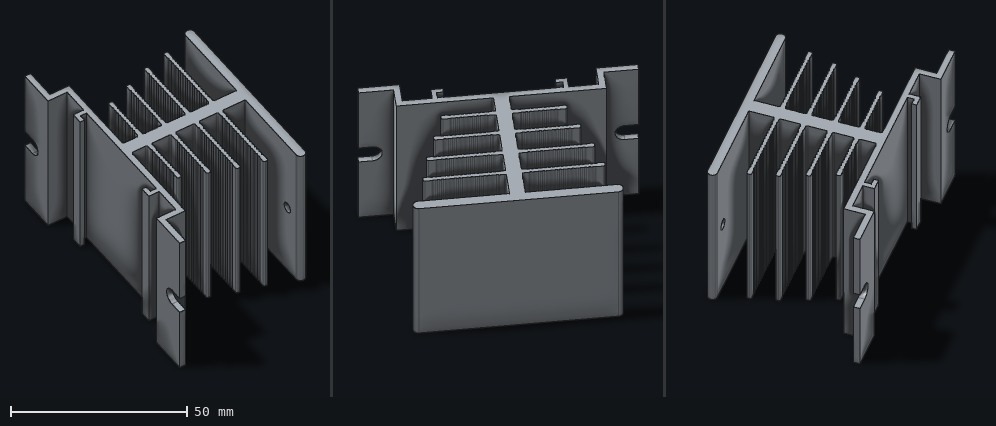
import cadquery as cq
import math

length = 50.0
half_web = 2.25
root_radius = 0.5

fillet_mid_factor = 1 - math.sqrt(0.5)
root_mid = root_radius * fillet_mid_factor

total_depth = 50.0
plate_half_width = 30.0
plate_thickness = 3.0
plate_inner_face = total_depth - plate_thickness
plate_hole_diameter = 3.3
plate_hole_x = 24.0
plate_hole_depth = 2.0

foot_half_span = 40.0
foot_thickness = 2.0
base_half_width = plate_half_width
base_top = 8.5
base_underside = 6.5
leg_thickness = foot_thickness

hook_outer = 19.5
hook_inner = 18.0
hook_tip = 16.0
hook_bottom = 3.0
hook_ledge = 4.5

slot_width = 5.5
slot_center_inset = 4.0

fin_thickness = 1.5
fin_pitch = 8.0
first_fin_y = 14.5
tip_radius = 0.5

groove_pitch = 1.2
groove_depth = 0.2
quarter_pitch = groove_pitch / 4

near_groove = 4.6
far_groove = near_groove + groove_pitch / 2
longest_fin_upper_groove = 4.8
longest_fin_lower_groove = longest_fin_upper_groove - groove_pitch / 2

fins = [
    (18.0, (near_groove, 10), (far_groove, 9)),
    (21.0, (far_groove, 12), (near_groove, 12)),
    (24.0, (near_groove, 15), (far_groove, 14)),
    (26.0, (longest_fin_lower_groove, 17), (longest_fin_upper_groove, 16)),
]


def add_ripple(path, y, depth_side, start, direction, count):
    """Continue an outline along a fin face at y with grooves sinking toward depth_side (+1 or -1).

    The first groove is centred at start and the rest follow in direction (+1 or -1) along X.
    """
    half_pitch = groove_pitch / 2
    mid_depth_y = y + depth_side * groove_depth / 2
    path = path.lineTo(start - direction * half_pitch, y)
    for index in range(count):
        center = start + direction * index * groove_pitch
        path = path.tangentArcPoint((center - direction * quarter_pitch, mid_depth_y), relative=False)
        path = path.tangentArcPoint((center + direction * quarter_pitch, mid_depth_y), relative=False)
    return path.tangentArcPoint((center + direction * half_pitch, y), relative=False)


def make_fin(y_center, reach, lower_row, upper_row):
    """Fin on the +X side, with root fillets, rounded tip corners and grooves."""
    lower_first, lower_count = lower_row
    upper_first, upper_count = upper_row
    upper_last = upper_first + (upper_count - 1) * groove_pitch
    low = y_center - fin_thickness / 2
    high = y_center + fin_thickness / 2
    tip_mid = tip_radius * fillet_mid_factor

    path = cq.Workplane("XY").moveTo(0, low - root_radius).lineTo(half_web, low - root_radius)
    path = path.threePointArc((half_web + root_mid, low - root_mid), (half_web + root_radius, low))
    path = add_ripple(path, low, 1, lower_first, 1, lower_count)
    path = path.lineTo(reach - tip_radius, low)
    path = path.threePointArc((reach - tip_mid, low + tip_mid), (reach, low + tip_radius))
    path = path.lineTo(reach, high - tip_radius)
    path = path.threePointArc((reach - tip_mid, high - tip_mid), (reach - tip_radius, high))
    path = add_ripple(path, high, -1, upper_last, -1, upper_count)
    path = path.lineTo(half_web + root_radius, high)
    path = path.threePointArc((half_web + root_mid, high + root_mid), (half_web, high + root_radius))
    path = path.lineTo(0, high + root_radius)
    return path.close().extrude(length)


def make_base():
    """+X half of the base with its leg, foot and hook, and the +X half of the web."""
    leg_inner = base_half_width - leg_thickness
    return (
        cq.Workplane("XY")
        .moveTo(0, base_underside)
        .lineTo(hook_inner, base_underside)
        .lineTo(hook_inner, hook_ledge)
        .lineTo(hook_tip, hook_ledge)
        .lineTo(hook_tip, hook_bottom)
        .lineTo(hook_outer, hook_bottom)
        .lineTo(hook_outer, base_underside)
        .lineTo(leg_inner, base_underside)
        .lineTo(leg_inner, 0)
        .lineTo(foot_half_span, 0)
        .lineTo(foot_half_span, foot_thickness)
        .lineTo(base_half_width, foot_thickness)
        .lineTo(base_half_width, base_top)
        .lineTo(half_web + root_radius, base_top)
        .threePointArc((half_web + root_mid, base_top + root_mid), (half_web, base_top + root_radius))
        .lineTo(half_web, plate_inner_face)
        .lineTo(0, plate_inner_face)
        .close()
        .extrude(length)
    )


def make_plate():
    """+X half of the rear plate, ending in a full round."""
    round_radius = plate_thickness / 2
    round_center = plate_half_width - round_radius
    return (
        cq.Workplane("XY")
        .moveTo(0, plate_inner_face)
        .lineTo(round_center, plate_inner_face)
        .threePointArc((plate_half_width, total_depth - round_radius), (round_center, total_depth))
        .lineTo(0, total_depth)
        .close()
        .extrude(length)
    )


def make_plate_hole():
    """Blind hole tool sunk into the plate from the side facing the fins."""
    return (
        cq.Workplane("XZ", origin=(plate_hole_x, plate_inner_face, length / 2))
        .circle(plate_hole_diameter / 2)
        .extrude(-plate_hole_depth)
    )


def make_foot_slot():
    """Slot tool through the foot, open at the outer edge."""
    slot_center = foot_half_span - slot_center_inset
    round_end = (
        cq.Workplane("XZ", origin=(slot_center, 0, length / 2))
        .circle(slot_width / 2)
        .extrude(-foot_thickness)
    )
    mouth = (
        cq.Workplane("XY", origin=(slot_center, 0, length / 2))
        .box(slot_center_inset, foot_thickness, slot_width, centered=(False, False, True))
    )
    return round_end.union(mouth)


half = make_base().union(make_plate())
for index, (reach, lower_row, upper_row) in enumerate(fins):
    fin = make_fin(first_fin_y + index * fin_pitch, reach, lower_row, upper_row)
    half = half.union(fin)
half = half.cut(make_plate_hole()).cut(make_foot_slot())

result = half.union(half.mirror("YZ")).clean()